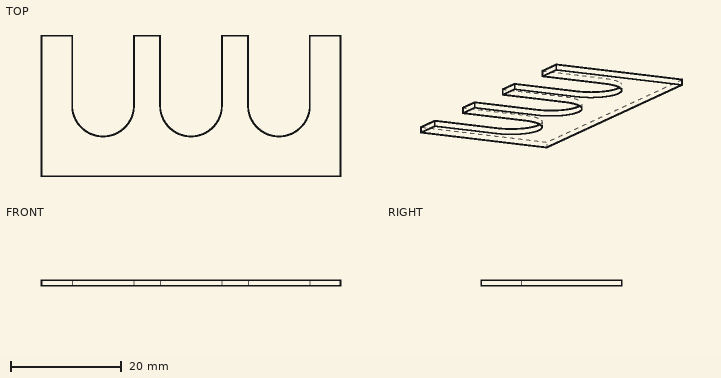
import cadquery as cq

plate_length = 54.0
plate_width = 25.4
plate_thickness = 1.0

slot_count = 3
slot_width = 11.1
slot_pitch = 15.85
web_width = 7.25

slot_radius = slot_width / 2
back_edge_y = plate_width / 2
slot_center_y = -plate_width / 2 + web_width + slot_radius


def open_slot(center_x):
    """Cutter for one slot: a half-round bottom with straight sides up to the +Y edge."""
    left_x = center_x - slot_radius
    right_x = center_x + slot_radius
    return (
        cq.Workplane("XY")
        .moveTo(left_x, back_edge_y)
        .lineTo(left_x, slot_center_y)
        .threePointArc((center_x, slot_center_y - slot_radius), (right_x, slot_center_y))
        .lineTo(right_x, back_edge_y)
        .close()
        .extrude(plate_thickness)
    )


result = cq.Workplane("XY").box(
    plate_length, plate_width, plate_thickness, centered=(True, True, False)
)
for index in range(slot_count):
    offset_from_middle = index - (slot_count - 1) / 2
    result = result.cut(open_slot(offset_from_middle * slot_pitch))